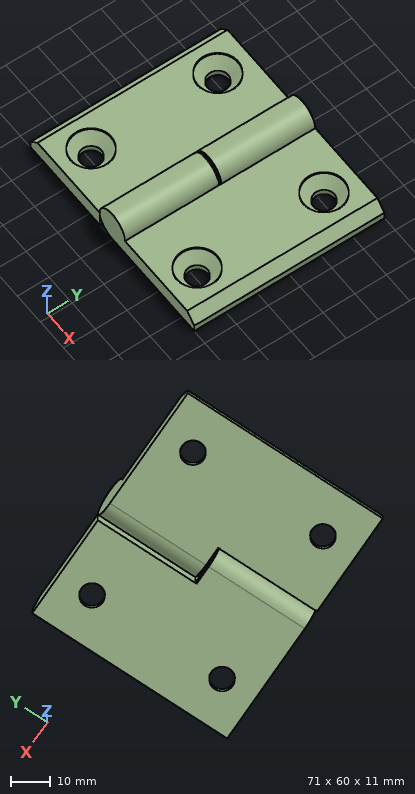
import cadquery as cq
import math

WIDTH = 71.0
LENGTH = 60.0
KNUCKLE_DIAMETER = 11.0
KNUCKLE_RADIUS = KNUCKLE_DIAMETER / 2
PLATE_THICKNESS = KNUCKLE_RADIUS
EDGE_CHAMFER = 3.05

KNUCKLE_GAP = 0.7
COLLAR_LENGTH = KNUCKLE_GAP / 2
COLLAR_STEP = 0.5
COLLAR_RADIUS = KNUCKLE_RADIUS - COLLAR_STEP
KNUCKLE_LENGTH = (LENGTH - KNUCKLE_GAP) / 2

HOLE_DIAMETER = 6.5
SINK_DIAMETER = 12.65
SINK_ANGLE = 90
SINK_RIM_DEPTH = 0.5
SINK_DEPTH = (SINK_DIAMETER - HOLE_DIAMETER) / 2 / math.tan(math.radians(SINK_ANGLE / 2))
HOLE_SPACING_X = 46.0
HOLE_SPACING_Y = 40.0


def cylinder_along_y(radius, y_start, length):
    """Cylinder on the hinge axis, from y_start towards +Y."""
    plane = cq.Workplane("XZ", origin=(0, y_start, KNUCKLE_RADIUS))
    return plane.circle(radius).extrude(-length)


def make_plate():
    """Left plate, reaching the hinge axis, with its outer top edge chamfered."""
    outline = [
        (-WIDTH / 2, 0),
        (0, 0),
        (0, PLATE_THICKNESS),
        (-WIDTH / 2 + EDGE_CHAMFER, PLATE_THICKNESS),
        (-WIDTH / 2, PLATE_THICKNESS - EDGE_CHAMFER),
    ]
    plane = cq.Workplane("XZ", origin=(0, -LENGTH / 2, 0))
    return plane.polyline(outline).close().extrude(-LENGTH)


def cut_screw_holes(plate):
    """Two countersunk holes, each with a short straight rim above the cone."""
    positions = [(-HOLE_SPACING_X / 2, side * HOLE_SPACING_Y / 2) for side in (-1, 1)]
    holes = cq.Workplane("XY").pushPoints(positions).circle(HOLE_DIAMETER / 2).extrude(PLATE_THICKNESS)
    top = cq.Workplane("XY", origin=(0, 0, PLATE_THICKNESS)).pushPoints(positions)
    rims = top.circle(SINK_DIAMETER / 2).extrude(-SINK_RIM_DEPTH)
    sink_top = cq.Workplane("XY", origin=(0, 0, PLATE_THICKNESS - SINK_RIM_DEPTH)).pushPoints(positions)
    cones = sink_top.circle(SINK_DIAMETER / 2).extrude(-SINK_DEPTH, taper=SINK_ANGLE / 2)
    return plate.cut(holes).cut(rims).cut(cones)


def make_collar():
    """Half of the spacing collar, set in from the knuckle and joined to the plate by a web."""
    ring = cylinder_along_y(COLLAR_RADIUS, 0, COLLAR_LENGTH)
    web = cq.Workplane("XY").box(
        KNUCKLE_RADIUS, COLLAR_LENGTH, PLATE_THICKNESS - COLLAR_STEP, centered=False
    ).translate((-KNUCKLE_RADIUS, 0, COLLAR_STEP))
    return ring.union(web)


def make_leaf():
    """Left leaf: plate with a knuckle on its +Y half and a notch on its -Y half."""
    notch = cq.Workplane("XY").box(
        KNUCKLE_DIAMETER, LENGTH / 2 + COLLAR_LENGTH, KNUCKLE_DIAMETER, centered=(True, False, False)
    ).translate((0, -LENGTH / 2, 0))
    knuckle = cylinder_along_y(KNUCKLE_RADIUS, COLLAR_LENGTH, KNUCKLE_LENGTH)
    plate = cut_screw_holes(make_plate()).cut(notch)
    return plate.union(knuckle).union(make_collar())


leaves = [make_leaf().rotate((0, 0, 0), (0, 0, 1), turn) for turn in (0, 180)]

result = cq.Compound.makeCompound([leaf.solids().val() for leaf in leaves])